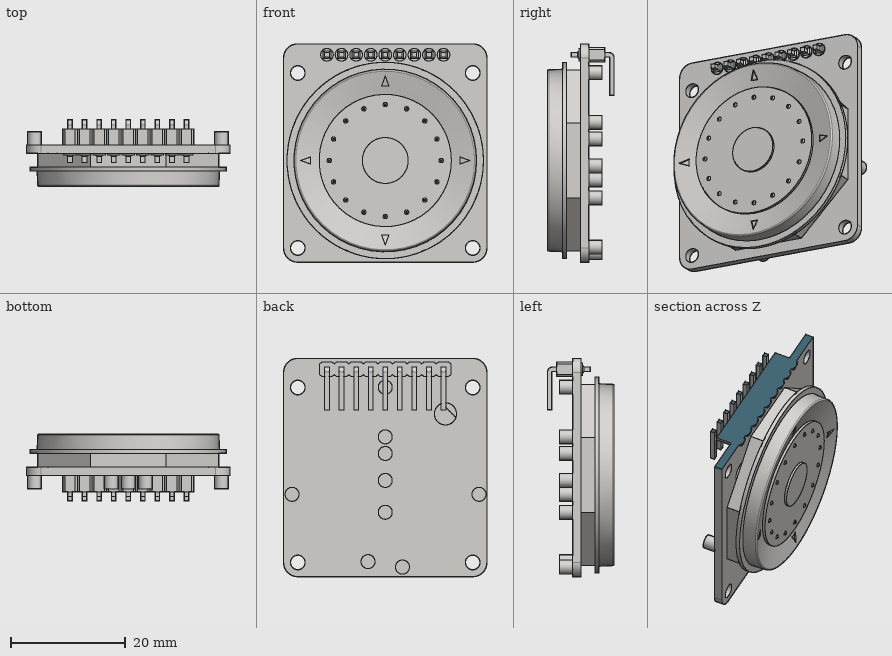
import cadquery as cq
import math


board_width = 35.5
board_height = 38.1
board_bottom = -board_width / 2
board_thickness = 1.5
board_corner_radius = 2.5
mount_hole_diameter = 2.5
mount_hole_spacing = 30.5
vent_hole_diameter = 3.85
vent_hole_x = -10.5
vent_hole_z = 10.65

peg_diameter = 2.44
peg_length = 2.3
peg_centres = [
    (-16.35, -3.37),
    (16.25, -3.37),
    (0, 15.3),
    (0, 6.65),
    (0, 3.75),
    (0, -0.95),
    (0, -6.5),
    (3, -15.1),
    (-3, -16.05),
]

pin_count = 9
pin_pitch = 2.54
pin_row_z = 18.43
pin_width = 0.8
pin_front_length = 1.6
pin_back_reach = 5.9
pin_tail_bottom = 11.35
pin_bend_radius = 0.9
housing_depth = 2.8
housing_corner = 0.36
solder_pad_diameter = 2.2
solder_pad_height = 0.25
solder_cone_width = 1.35
solder_cone_height = 0.25

octagon_across_flats = 31.6
octagon_depth = 2.4
flange_diameter = 34.25
flange_thickness = 0.7
rim_front = 5.75
rim_back_diameter = 31.85
rim_front_diameter = 31.65
rim_fillet = 0.25
dish_outer_diameter = rim_front_diameter - 2 * rim_fillet
dish_floor_diameter = 23.05
dish_depth = 1.0
plateau_height = 0.5
button_diameter = 8
button_height = 0.42

dot_count = 16
dot_circle_radius = 9.75
dot_base_diameter = 0.75
dot_tip_diameter = 0.25
dot_height = 0.25
arrow_count = 4
arrow_base_radius = 13.0
arrow_tip_radius = 14.75
arrow_width = 1.25
arrow_depth = 0.25


def front_plane(y=0):
    """Sketch plane at the given Y with local x = X, local y = Z, extruding towards -Y."""
    return cq.Workplane("XZ", origin=(0, y, 0))


def make_board():
    board = (
        front_plane(board_thickness)
        .center(0, board_bottom + board_height / 2)
        .rect(board_width, board_height)
        .extrude(board_thickness)
        .edges("|Y")
        .fillet(board_corner_radius)
    )
    mount_holes = (
        front_plane(board_thickness)
        .rect(mount_hole_spacing, mount_hole_spacing, forConstruction=True)
        .vertices()
        .circle(mount_hole_diameter / 2)
        .extrude(board_thickness)
    )
    vent_hole = (
        front_plane(board_thickness)
        .center(vent_hole_x, vent_hole_z)
        .circle(vent_hole_diameter / 2)
        .extrude(board_thickness)
    )
    return board.cut(mount_holes).cut(vent_hole)


def make_pegs():
    return (
        front_plane(board_thickness + peg_length)
        .pushPoints(peg_centres)
        .circle(peg_diameter / 2)
        .extrude(peg_length)
    )


def make_header_cell(x):
    """One pin with its chamfered housing block and its solder joint, centred at the given X."""
    housing_back = board_thickness + housing_depth
    housing = (
        front_plane(housing_back)
        .center(x, pin_row_z)
        .rect(pin_pitch, pin_pitch)
        .extrude(housing_depth)
        .edges("|Y")
        .chamfer(housing_corner)
    )
    pin_top = pin_row_z + pin_width / 2
    pin_underside = pin_row_z - pin_width / 2
    pin = (
        cq.Workplane("YZ", origin=(x - pin_width / 2, 0, 0))
        .moveTo(-pin_front_length, pin_underside)
        .lineTo(-pin_front_length, pin_top)
        .lineTo(pin_back_reach - pin_bend_radius, pin_top)
        .radiusArc((pin_back_reach, pin_top - pin_bend_radius), pin_bend_radius)
        .lineTo(pin_back_reach, pin_tail_bottom)
        .lineTo(pin_back_reach - pin_width, pin_tail_bottom)
        .lineTo(pin_back_reach - pin_width, pin_underside)
        .close()
        .extrude(pin_width)
    )
    solder_pad = (
        front_plane()
        .center(x, pin_row_z)
        .circle(solder_pad_diameter / 2)
        .extrude(solder_pad_height)
    )
    solder_cone = (
        front_plane(-solder_pad_height)
        .center(x, pin_row_z)
        .rect(solder_cone_width, solder_cone_width)
        .workplane(offset=solder_cone_height)
        .rect(pin_width, pin_width)
        .loft(combine=True)
    )
    return housing.union(pin).union(solder_pad).union(solder_cone)


def make_header():
    first_x = -pin_pitch * (pin_count - 1) / 2
    header = make_header_cell(first_x)
    for index in range(1, pin_count):
        header = header.union(make_header_cell(first_x + index * pin_pitch))
    return header


def make_dial():
    octagon = (
        front_plane()
        .transformed(rotate=(0, 0, 180 / 8))
        .polygon(8, octagon_across_flats / math.cos(math.pi / 8))
        .extrude(octagon_depth)
    )
    flange_front = octagon_depth + flange_thickness
    plateau_front = rim_front - dish_depth + plateau_height
    button_front = plateau_front + button_height
    turned = (
        cq.Workplane("XY")
        .moveTo(0, -octagon_depth)
        .lineTo(flange_diameter / 2, -octagon_depth)
        .lineTo(flange_diameter / 2, -flange_front)
        .lineTo(rim_back_diameter / 2, -flange_front)
        .lineTo(rim_front_diameter / 2, rim_fillet - rim_front)
        .radiusArc((dish_outer_diameter / 2, -rim_front), rim_fillet)
        .lineTo(dish_floor_diameter / 2, dish_depth - rim_front)
        .lineTo(dish_floor_diameter / 2, -plateau_front)
        .lineTo(button_diameter / 2, -plateau_front)
        .lineTo(button_diameter / 2, -button_front)
        .lineTo(0, -button_front)
        .close()
        .revolve(360, (0, 0, 0), (0, 1, 0))
    )
    return octagon.union(turned)


def around_axis(shape, count):
    """List of copies of a shape, evenly spaced around the Y axis."""
    return [shape.rotate((0, 0, 0), (0, 1, 0), index * 360 / count) for index in range(count)]


def make_dot():
    """Small blunt cone standing on the plateau, on the +X side of the axis."""
    plateau_front = rim_front - dish_depth + plateau_height
    return (
        front_plane(-plateau_front)
        .center(dot_circle_radius, 0)
        .circle(dot_base_diameter / 2)
        .workplane(offset=dot_height)
        .circle(dot_tip_diameter / 2)
        .loft(combine=True)
    )


def make_arrow():
    """Triangular recess in the +X side of the dish, its floor parallel to the conical wall."""
    slope = dish_depth / (dish_outer_diameter / 2 - dish_floor_diameter / 2)
    floor_y_at_axis = dish_depth + arrow_depth - rim_front + slope * dish_floor_diameter / 2
    floor_cone_radius = dish_outer_diameter / 2
    floor_y_at_edge = floor_y_at_axis - slope * floor_cone_radius
    above_floor = (
        cq.Workplane("XY")
        .moveTo(0, -rim_front)
        .lineTo(floor_cone_radius, -rim_front)
        .lineTo(floor_cone_radius, floor_y_at_edge)
        .lineTo(0, floor_y_at_axis)
        .close()
        .revolve(360, (0, 0, 0), (0, 1, 0))
    )
    triangle = (
        front_plane()
        .moveTo(arrow_base_radius, -arrow_width / 2)
        .lineTo(arrow_tip_radius, 0)
        .lineTo(arrow_base_radius, arrow_width / 2)
        .close()
        .extrude(rim_front)
    )
    return triangle.intersect(above_floor)


dial = make_dial()
for dot in around_axis(make_dot(), dot_count):
    dial = dial.union(dot)
for arrow in around_axis(make_arrow(), arrow_count):
    dial = dial.cut(arrow)

result = make_board().union(make_pegs()).union(make_header()).union(dial)